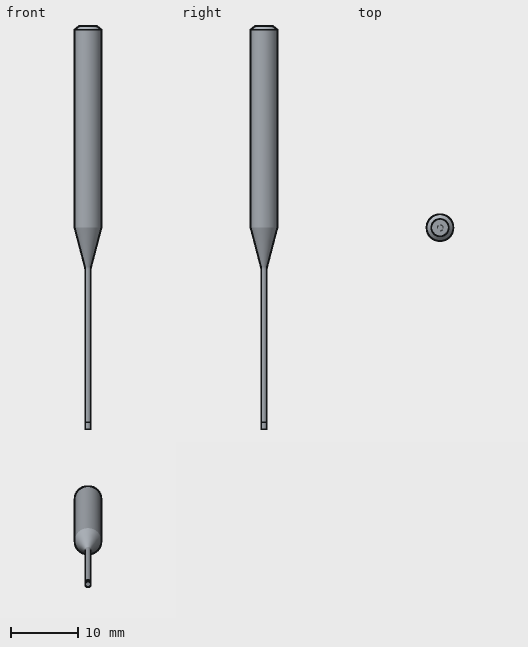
import cadquery as cq

total_length = 60.0
shank_radius = 2.01

head_radius = 0.445
head_length = 1.1
neck_start = 1.25

neck_radius = 0.43
neck_end = 23.75
taper_start = 24.05
taper_end = 30.0
taper_small_radius = 0.45

chamfer_height = 0.6
chamfer_width = 0.7


def make_cutting_head():
    """Plain cylinder at the lower end of the tool."""
    return cq.Workplane("XY").circle(head_radius).extrude(head_length)


def make_holder():
    """Neck, taper and chamfered shank, turned about Z as one body."""
    profile = (
        cq.Workplane("XZ")
        .moveTo(0, head_length)
        .lineTo(head_radius, head_length)
        .lineTo(neck_radius, neck_start)
        .lineTo(neck_radius, neck_end)
        .lineTo(taper_small_radius, taper_start)
        .lineTo(shank_radius, taper_end)
        .lineTo(shank_radius, total_length - chamfer_height)
        .lineTo(shank_radius - chamfer_width, total_length)
        .lineTo(0, total_length)
        .close()
    )
    return profile.revolve(360, (0, 0, 0), (0, 1, 0))


cutting_head = make_cutting_head()
holder = make_holder()

result = cq.Compound.makeCompound([cutting_head.val(), holder.val()])